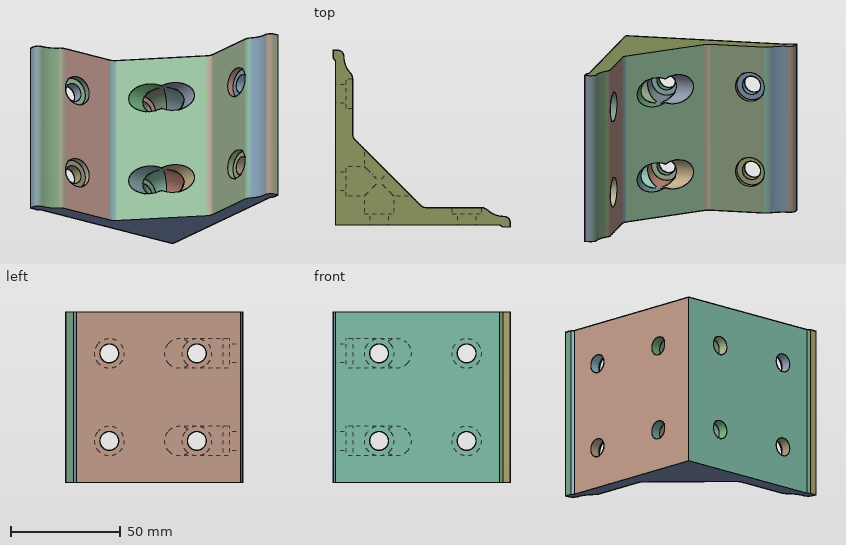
import cadquery as cq
import math


leg_length_x = 80.0
leg_length_y = 79.92
leg_thickness = 8.0
height = 78.0
gusset_reach = 40.0
gusset_fillet = 4.0

foot_drop = 1.0
foot_length = 3.5
foot_slope_run = 1.4
nose_thickness = 4.0
nose_radius = 3.0
hollow_radius = 11.0
shoulder_fillet = 4.0

hole_diameter = 8.5
head_diameter = 13.5
head_seat = 5.0
hole_offsets = (20.0, 60.0)
hole_spacing_z = 40.0

hollow_run = math.sqrt(hollow_radius**2 - (hollow_radius - leg_thickness + nose_thickness) ** 2)


def swap_legs(shape):
    """Exchange X and Y by a half turn about the bisector of the two legs."""
    return shape.rotate((0, 0, 0), (1, 1, 0), 180)


def make_leg(length):
    """Leg along +X, with the foot, nose and hollow at its tip."""
    crest_x = length - nose_radius
    shoulder_x = crest_x - hollow_run
    foot_x = length - foot_length
    nose_base = nose_thickness - nose_radius
    nose_mid = nose_radius * math.sqrt(0.5)
    half_sweep = math.asin(hollow_run / hollow_radius) / 2
    hollow_mid = (
        crest_x - hollow_radius * math.sin(half_sweep),
        nose_thickness + hollow_radius * (1 - math.cos(half_sweep)),
    )
    leg = (
        cq.Workplane("XY")
        .workplane(offset=-height / 2)
        .moveTo(0, 0)
        .lineTo(foot_x - foot_slope_run, 0)
        .lineTo(foot_x, -foot_drop)
        .lineTo(length, -foot_drop)
        .lineTo(length, nose_base)
        .threePointArc((crest_x + nose_mid, nose_base + nose_mid), (crest_x, nose_thickness))
        .threePointArc(hollow_mid, (shoulder_x, leg_thickness))
        .lineTo(0, leg_thickness)
        .close()
        .extrude(height)
    )
    shoulder = cq.selectors.NearestToPointSelector((shoulder_x, leg_thickness, 0))
    return leg.edges(shoulder).fillet(shoulder_fillet)


def make_gusset():
    """Corner block whose sloping face joins the inner faces of both legs."""
    corners = [
        (0, 0),
        (gusset_reach, 0),
        (gusset_reach, leg_thickness),
        (leg_thickness, gusset_reach),
        (0, gusset_reach),
    ]
    return cq.Workplane("XY").workplane(offset=-height / 2).polyline(corners).close().extrude(height)


def fillet_gusset(body):
    """Round the inside corners between the sloping face and the legs."""
    for x, y in ((gusset_reach, leg_thickness), (leg_thickness, gusset_reach)):
        corner = cq.selectors.NearestToPointSelector((x, y, 0))
        body = body.edges(corner).fillet(gusset_fillet)
    return body


def make_hole_cutters():
    """Bolt holes through the leg along X, with head recesses open to the inside."""
    centres = [(x, side * hole_spacing_z / 2) for x in hole_offsets for side in (-1, 1)]
    face = cq.Workplane("XZ").pushPoints(centres)
    holes = face.circle(hole_diameter / 2).extrude(-head_seat)
    heads = (
        cq.Workplane("XZ", origin=(0, head_seat, 0))
        .pushPoints(centres)
        .circle(head_diameter / 2)
        .extrude(-gusset_reach)
    )
    return holes.union(heads)


body = make_leg(leg_length_x).union(swap_legs(make_leg(leg_length_y))).union(make_gusset())
body = fillet_gusset(body.clean())
hole_cutters = make_hole_cutters()
result = body.cut(hole_cutters).cut(swap_legs(hole_cutters))